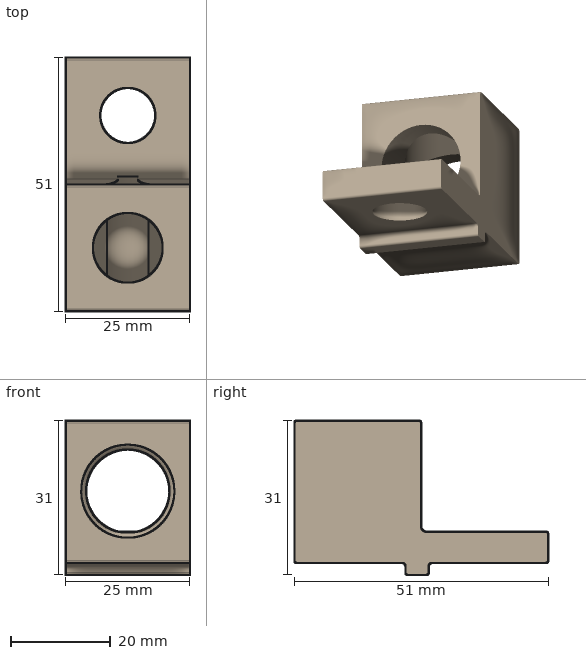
import cadquery as cq

width = 25.0
length = 51.0
height = 31.0

block_length = 25.5
body_bottom = 2.4
tongue_top = 8.7
tab_front = 22.3
tab_back = 27.05
edge_radius = 0.5
tab_root_radius = 0.6
inner_corner_radius = 1.0

bore_diameter = 16.7
bore_axis_height = 16.85
bore_depth = tab_back
bore_mouth_chamfer = 1.0

screw_diameter = 14.0
screw_center = block_length / 2
screw_floor = 9.6

mount_diameter = 11.0
mount_center = 39.3

front = -length / 2


def make_body():
    """Extrude the L-shaped side profile with its tab, then round its edges."""
    corners = [
        (0, body_bottom, edge_radius),
        (tab_front, body_bottom, tab_root_radius),
        (tab_front, 0, edge_radius),
        (tab_back, 0, edge_radius),
        (tab_back, body_bottom, tab_root_radius),
        (length, body_bottom, edge_radius),
        (length, tongue_top, edge_radius),
        (block_length, tongue_top, inner_corner_radius),
        (block_length, height, edge_radius),
        (0, height, edge_radius),
    ]
    outline = [(front + y, z) for y, z, _ in corners]
    body = cq.Workplane("YZ").polyline(outline).close().extrude(width / 2, both=True)
    for y, z, radius in corners:
        corner_edge = cq.selectors.NearestToPointSelector((0, front + y, z))
        body = body.edges("|X").edges(corner_edge).fillet(radius)
    return body


def make_wire_bore():
    """Blind bore along +Y with a 45 degree chamfered mouth."""
    radius = bore_diameter / 2
    axis_start = cq.Vector(0, front, bore_axis_height)
    axis_direction = cq.Vector(0, 1, 0)
    bore = cq.Solid.makeCylinder(radius, bore_depth, axis_start, axis_direction)
    mouth = cq.Solid.makeCone(
        radius + bore_mouth_chamfer, radius, bore_mouth_chamfer, axis_start, axis_direction
    )
    return bore.fuse(mouth)


def make_vertical_hole(diameter, center, bottom, top):
    """Flat-ended vertical cutter at a given distance from the front face."""
    return cq.Solid.makeCylinder(diameter / 2, top - bottom, cq.Vector(0, front + center, bottom))


screw_hole = make_vertical_hole(screw_diameter, screw_center, screw_floor, height)
mount_hole = make_vertical_hole(mount_diameter, mount_center, body_bottom, tongue_top)

result = make_body().cut(make_wire_bore()).cut(screw_hole).cut(mount_hole)